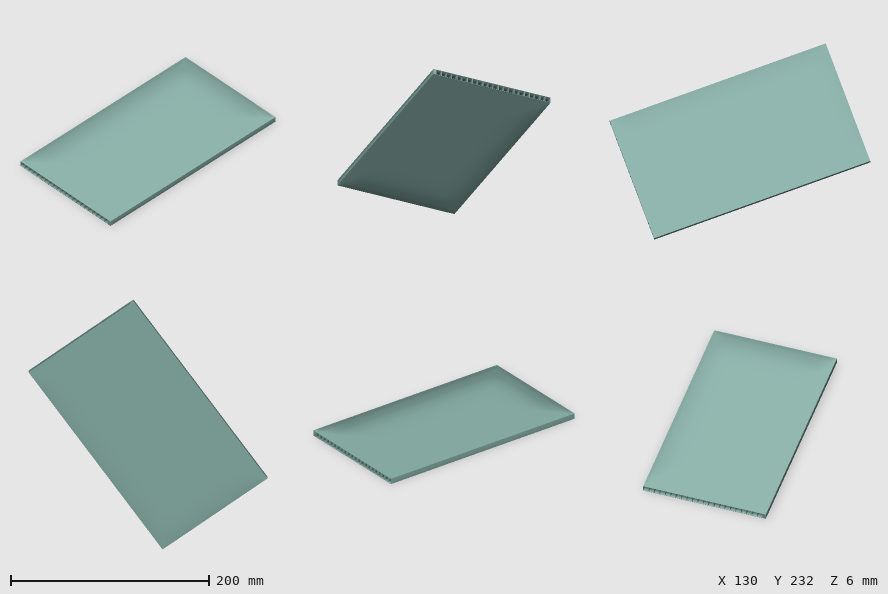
import cadquery as cq

width = 130.0
length = 232.0
height = 6.0

flute_count = 22
wall = 0.25
solid_strip = 3.5
flute_pitch = (width - solid_strip) / flute_count
flute_width = flute_pitch - wall
flute_height = height - 2 * wall


def flute(index):
    """One full-length flute, counted from the -X side of the panel."""
    left = -width / 2 + wall + index * flute_pitch
    center_x = left + flute_width / 2
    return cq.Workplane("XY").box(flute_width, length, flute_height).translate((center_x, 0, 0))


result = cq.Workplane("XY").box(width, length, height)
for index in range(flute_count):
    result = result.cut(flute(index))